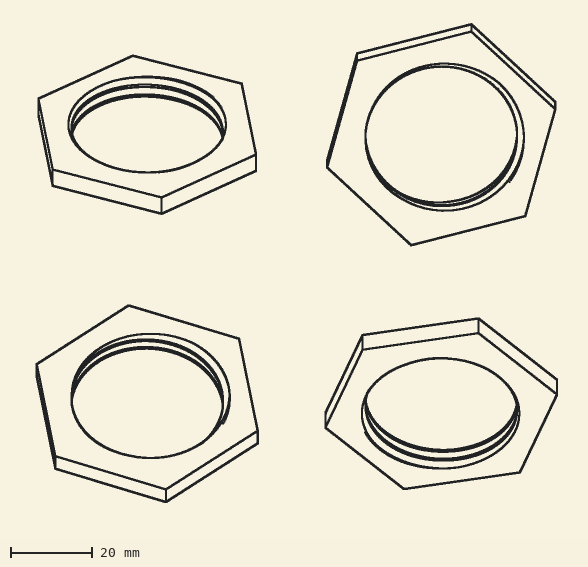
import cadquery as cq
import math

across_corners = 57.75
thickness = 5.0

minor_radius = 37.0 / 2
major_radius = 40.35 / 2
pitch = 3.0
flank_slope = math.tan(math.radians(30))
root_half_width = pitch / 16
bore_overlap = 0.2
bore_overrun = 0.6
root_angle_at_top = 145.0
turns = 4


def hexagonal_body():
    """Hexagon with two corners on the Y axis, resting on Z = 0."""
    return (
        cq.Workplane("XY")
        .transformed(rotate=(0, 0, 90))
        .polygon(6, across_corners)
        .extrude(thickness)
    )


def thread_groove():
    """Trapezoidal groove swept on a helix that overruns both faces of the nut."""
    inner_radius = minor_radius - bore_overlap
    mouth_half_width = root_half_width + (major_radius - inner_radius) * flank_slope
    helix = cq.Wire.makeHelix(pitch, turns * pitch, inner_radius)
    groove = (
        cq.Workplane("XZ")
        .moveTo(inner_radius, -mouth_half_width)
        .lineTo(major_radius, -root_half_width)
        .lineTo(major_radius, root_half_width)
        .lineTo(inner_radius, mouth_half_width)
        .close()
        .sweep(cq.Workplane(helix), isFrenet=True)
    )
    turns_below_top = turns - 1
    start_height = thickness - turns_below_top * pitch
    return groove.rotate((0, 0, 0), (0, 0, 1), root_angle_at_top).translate((0, 0, start_height))


def bore():
    """Clearing cylinder for the minor diameter, overrunning both faces."""
    return (
        cq.Workplane("XY")
        .workplane(offset=-bore_overrun)
        .circle(minor_radius)
        .extrude(thickness + 2 * bore_overrun)
    )


result = hexagonal_body().cut(thread_groove()).cut(bore())